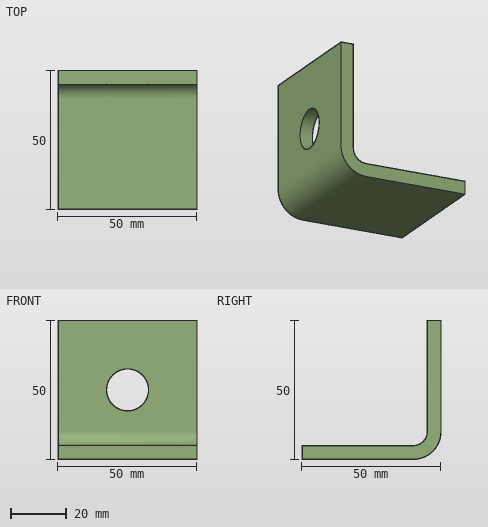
import cadquery as cq

width = 50.0
leg_length = 50.0
thickness = 5.0
inner_bend_radius = 5.0
hole_diameter = 15.0

outer_bend_radius = inner_bend_radius + thickness
hole_height = leg_length / 2


def bent_plate():
    """L-shaped plate: base leg along Y, upright leg at the +Y end, rounded bend between."""
    blank = cq.Workplane("XY").box(width, leg_length, leg_length, centered=(True, False, False))
    blank = blank.edges("|X and >Y and <Z").fillet(outer_bend_radius)

    clearance_size = leg_length - thickness
    clearance = (
        cq.Workplane("XY")
        .box(width, clearance_size, clearance_size, centered=(True, False, False))
        .edges("|X and >Y and <Z")
        .fillet(inner_bend_radius)
        .translate((0, 0, thickness))
    )
    return blank.cut(clearance)


def upright_hole():
    """Cylinder through the upright leg, centred across the width."""
    return (
        cq.Workplane("XZ", origin=(0, leg_length, hole_height))
        .circle(hole_diameter / 2)
        .extrude(thickness)
    )


result = bent_plate().cut(upright_hole())